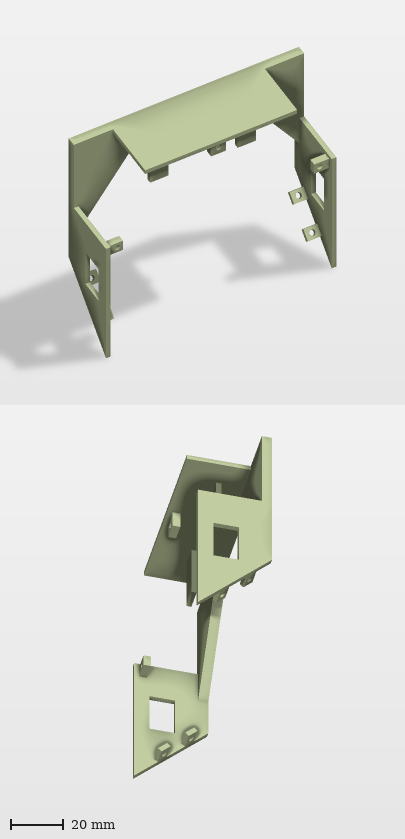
import cadquery as cq
import math

depth = 29.0
width = 100.0
height = 93.0
front_wall = 4.0
sheet = 2.0
half_width = width / 2
inner_side = half_width - sheet
top_underside = height - sheet

arch_top_half_width = 16.0
arch_slope = 55.0
arch_drop = (inner_side - arch_top_half_width) * math.tan(math.radians(arch_slope))
arch_shoulder_z = top_underside - arch_drop

top_plate_width = 66.0

side_top_z = 59.0
bevel_height = depth
window_x, window_z = 13.0, 26.0
window_length, window_height = 10.0, 17.0

hanger_x = 13.0
hanger_width = 8.0
hanger_drop = 22.0
hanger_center_y = 19.0

hole_diameter = 2.5
lug_x = 24.0
lug_thickness = 3.0
center_lug_width = 6.5
center_lug_drop = 7.0
center_hole_drop = 3.7
side_lug_reach = 6.5
side_lug_height = 5.0
side_lug_top_z = 57.5
side_hole_reach = 4.0

tab_starts = (8.0, 23.0)
tab_length = 5.0
tab_thickness = 2.0
tab_reach = 6.0


def box(x, y, z, x_size, y_size, z_size):
    """Box given by its lowest corner and its sizes."""
    return cq.Workplane("XY").box(x_size, y_size, z_size, centered=False).translate((x, y, z))


def make_front_wall():
    wall = box(0, -half_width, 0, front_wall, width, height)
    opening = (
        cq.Workplane("YZ")
        .moveTo(-inner_side, 0)
        .lineTo(-inner_side, arch_shoulder_z)
        .lineTo(-arch_top_half_width, top_underside)
        .lineTo(arch_top_half_width, top_underside)
        .lineTo(inner_side, arch_shoulder_z)
        .lineTo(inner_side, 0)
        .close()
        .extrude(front_wall)
    )
    return wall.cut(opening)


def make_top_plate():
    return box(0, -top_plate_width / 2, top_underside, depth, top_plate_width, sheet)


def make_side_wall():
    """Side wall on +Y with its rectangular window."""
    wall = box(0, inner_side, 0, depth, sheet, side_top_z)
    window = box(window_x, inner_side, window_z, window_length, sheet, window_height)
    return wall.cut(window)


def make_bevel_cutter():
    """Triangular prism below the 45 degree lower edge."""
    return (
        cq.Workplane("XZ", origin=(0, half_width, 0))
        .polyline([(0, 0), (depth, 0), (0, bevel_height)])
        .close()
        .extrude(width)
    )


def make_hanger():
    """Plain plate hanging from the top plate on the +Y side."""
    y = hanger_center_y - hanger_width / 2
    return box(hanger_x, y, top_underside - hanger_drop, sheet, hanger_width, hanger_drop)


def drill_along_x(lug, y, z):
    """Cut a lug hole along X with its centre at (y, z)."""
    hole = cq.Workplane("YZ", origin=(lug_x, y, z)).circle(hole_diameter / 2).extrude(lug_thickness)
    return lug.cut(hole)


def make_center_lug():
    """Drilled lug under the middle of the top plate."""
    bottom_z = top_underside - center_lug_drop
    lug = box(lug_x, -center_lug_width / 2, bottom_z, lug_thickness, center_lug_width, center_lug_drop)
    return drill_along_x(lug, 0, top_underside - center_hole_drop)


def make_side_lug():
    """Drilled lug reaching inward from the +Y side wall."""
    y = inner_side - side_lug_reach
    bottom_z = side_lug_top_z - side_lug_height
    lug = box(lug_x, y, bottom_z, lug_thickness, side_lug_reach, side_lug_height)
    return drill_along_x(lug, inner_side - side_hole_reach, bottom_z + side_lug_height / 2)


def make_slope_tab(start):
    """Drilled tab on the +Y side wall, flush with the sloping lower edge."""
    slope_plane = cq.Plane(origin=(0, inner_side, bevel_height), xDir=(1, 0, -1), normal=(1, 0, 1))
    tab_center = (start + tab_length / 2, -tab_reach / 2)
    tab_base = cq.Workplane(slope_plane).center(*tab_center)
    tab = tab_base.rect(tab_length, tab_reach).extrude(tab_thickness)
    hole = tab_base.circle(hole_diameter / 2).extrude(tab_thickness)
    return tab.cut(hole)


def make_side_parts():
    """Everything that is repeated on both sides, built for +Y."""
    parts = [make_side_wall(), make_hanger(), make_side_lug()]
    parts += [make_slope_tab(start) for start in tab_starts]
    return parts


frame = make_front_wall().union(make_top_plate())
frame = frame.union(make_center_lug())
for part in make_side_parts():
    frame = frame.union(part).union(part.mirror("XZ"))

result = frame.cut(make_bevel_cutter())